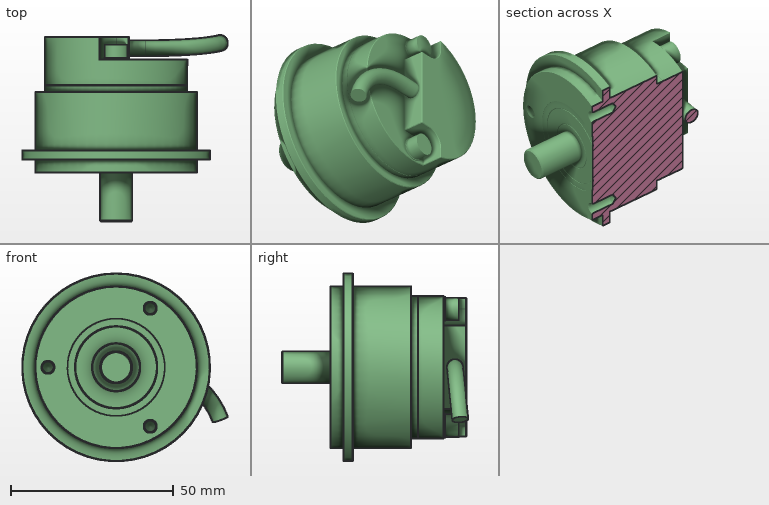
import cadquery as cq
import math


shaft_radius = 5.0
shaft_length = 15.0
shaft_root = 4.0
shaft_chamfer = 0.4
body_radius = 25.0
body_end = 25.0
flange_radius = 29.0
flange_start = 4.0
flange_end = 7.0
edge_chamfer = 0.2

cap_radius = 22.0
cap_step = 35.0
cap_end = 42.0
cap_flat_x = 4.0
seam_y = 27.0
seam_width = 0.2
seam_depth = 0.1

bearing_recess_radius = 15.0
bearing_recess_depth = 0.1
ring_groove_radii = (7.5, 12.75)
ring_groove_width = 0.25
ring_groove_depth = 0.2

hole_count = 3
hole_circle_radius = 21.0
hole_radius = 1.75
hole_mouth_radius = 2.05
hole_depth = 8.0
drill_tip_angle = 118.0

screw_z = 18.0
screw_head_radius = 3.5
screw_head_end = 39.5
screw_collar_radius = 3.7
screw_collar_height = 0.4
pocket_radius = 5.0

cable_radius = 2.5
cable_y = 38.4
cable_straight_end = 9.0
cable_bend_radius = 24.6
cable_bend_angle = 70.0
cable_tilt = 5.8
cable_embed = 4.0


def disc(radius, start, end, x=0.0, z=0.0):
    """Cylinder along Y from start to end."""
    base = cq.Vector(x, start, z)
    return cq.Workplane(cq.Solid.makeCylinder(radius, end - start, base, cq.Vector(0, 1, 0)))


def ring(outer_radius, inner_radius, start, end):
    """Tube about the Y axis from start to end."""
    return disc(outer_radius, start, end).cut(disc(inner_radius, start, end))


def make_bearing_recess():
    """Shallow recess in the mounting face, with fine grooves between the bearing rings."""
    recess = disc(bearing_recess_radius, 0, bearing_recess_depth)
    for radius in ring_groove_radii:
        groove_end = bearing_recess_depth + ring_groove_depth
        recess = recess.union(ring(radius, radius - ring_groove_width, 0, groove_end))
    return recess


def make_shaft():
    """Shaft, rooted inside the body behind the mounting face."""
    shaft = disc(shaft_radius, -shaft_length, shaft_root)
    return shaft.faces("<Y").edges().chamfer(shaft_chamfer)


def make_mounting_holes():
    """Blind drilled holes with a chamfered mouth and a conical bottom."""
    mouth_depth = hole_mouth_radius - hole_radius
    tip_length = hole_radius / math.tan(math.radians(drill_tip_angle / 2))
    profile = [
        (0, 0),
        (hole_mouth_radius, 0),
        (hole_radius, mouth_depth),
        (hole_radius, hole_depth),
        (0, hole_depth + tip_length),
    ]
    hole = cq.Workplane("XY").polyline(profile).close().revolve(360, (0, 0, 0), (0, 1, 0))
    hole = hole.translate((-hole_circle_radius, 0, 0))
    holes = cq.Workplane("XY")
    for i in range(hole_count):
        holes = holes.add(hole.rotate((0, 0, 0), (0, 1, 0), i * 360 / hole_count))
    return holes.combine()


def block_from(x, z):
    """Box behind the cap step that fills everything above z and to the right of x."""
    size = (2 * cap_radius, cap_end - cap_step, 2 * cap_radius)
    return cq.Workplane("XY").box(*size, centered=False).translate((x, cap_step, z))


def make_pocket():
    """Upper screw pocket: a half-round floor below the screw, open outwards and towards +X."""
    round_part = disc(pocket_radius, cap_step, cap_end, 0, screw_z)
    opening = block_from(-pocket_radius, screw_z)
    flat_floor = block_from(0, screw_z - pocket_radius)
    return round_part.union(opening).union(flat_floor)


def cap_chamfer_edges(cap):
    """Rear outline, rim of the step, and the outer edges of the pocket walls."""
    largest_radius = cq.selectors.RadiusNthSelector(-1)
    step_face = cap.faces(cq.selectors.NearestToPointSelector((cap_radius / 2, cap_step, 0)))
    edges = cap.faces(">Y").edges().add(step_face.edges("%CIRCLE").edges(largest_radius))

    middle_y = (cap_step + cap_end) / 2
    rim_edge_z = math.sqrt(cap_radius**2 - pocket_radius**2)
    flat_edge_z = screw_z - pocket_radius
    for side in (1, -1):
        for x, z in ((-pocket_radius, rim_edge_z), (cap_flat_x, flat_edge_z)):
            nearest = cq.selectors.NearestToPointSelector((x, middle_y, side * z))
            edges = edges.add(cap.edges("|Y").edges(nearest))
    return edges


def make_cap():
    """Rear cap: its last step is flat on the cable side and holds an upper and a lower screw pocket."""
    cap = disc(cap_radius, body_end, cap_end)
    cap = cap.cut(block_from(cap_flat_x, -cap_radius))
    pocket = make_pocket()
    cap = cap.cut(pocket).cut(pocket.mirror("XY"))
    cap = cap_chamfer_edges(cap).chamfer(edge_chamfer)
    seam = ring(cap_radius, cap_radius - seam_depth, seam_y - seam_width / 2, seam_y + seam_width / 2)
    return cap.cut(seam)


def make_housing():
    """Body, flange and rear cap."""
    body = disc(body_radius, 0, body_end).edges().chamfer(edge_chamfer)
    flange = disc(flange_radius, flange_start, flange_end).edges().chamfer(edge_chamfer)
    return body.union(flange).union(make_cap())


def make_screws():
    """Screw heads standing on thin collars, both rooted inside the cap."""
    screws = cq.Workplane("XY")
    for side in (1, -1):
        head = disc(screw_head_radius, body_end, screw_head_end, 0, side * screw_z)
        collar = disc(screw_collar_radius, body_end, cap_step + screw_collar_height, 0, side * screw_z)
        screws = screws.add(head.union(collar))
    return screws.combine()


def make_cable():
    """Cable leaving the flat along +X, then bending down in a plane tilted towards +Y."""
    start_x = cap_flat_x - cable_embed
    straight = cq.Workplane("YZ", origin=(start_x, cable_y, 0)).circle(cable_radius)
    straight = straight.extrude(cable_straight_end - start_x)
    bend = cq.Workplane("YZ", origin=(cable_straight_end, cable_y, 0)).circle(cable_radius)
    bend = bend.revolve(cable_bend_angle, (0, -cable_bend_radius, 0), (1, -cable_bend_radius, 0))
    bend = bend.rotate((0, cable_y, 0), (1, cable_y, 0), cable_tilt)
    return straight.union(bend)


result = make_housing().cut(make_bearing_recess()).cut(make_mounting_holes())
result = result.union(make_shaft()).union(make_screws()).union(make_cable())